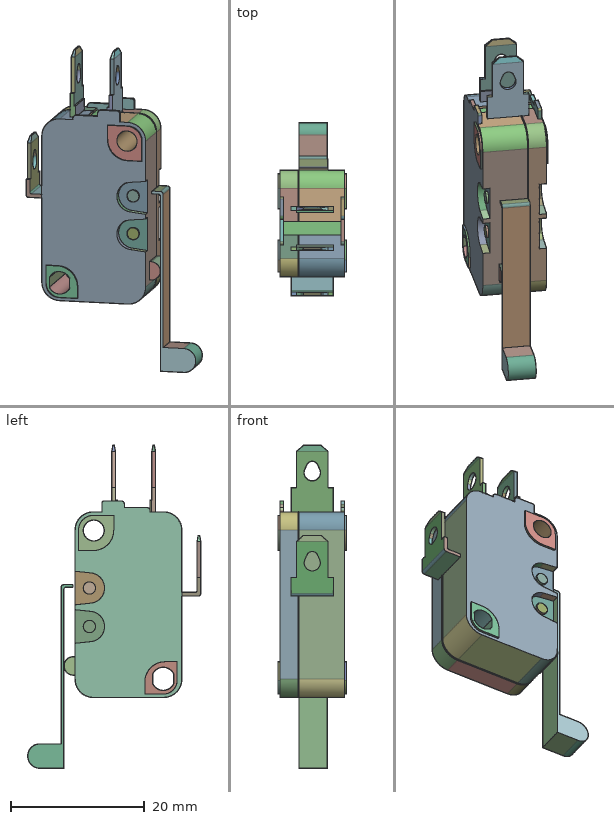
import cadquery as cq
import math

CASE_X = 9.7
CASE_Y = 16.0
CASE_Z = 27.8
CORNER_R = 2.75
BACK_Y = CASE_Y / 2
FRONT_Y = -BACK_Y
SIDE_X = CASE_X / 2

GROOVE_X = -2.13
GROOVE_WIDTH = 0.15
GROOVE_DEPTH = 0.15

HOLE_D = 3.1
HOLE_INSET = 2.8
TALL_HOLE_D = 3.45
PAD_RISE = 0.3
PAD_ROUND = 3.05
TOP_PAD_SIZE = 5.25
TOP_PAD_INSET = 0.55
TOP_PAD_CORNER_R = CORNER_R - TOP_PAD_INSET
LOW_PAD_SIZE = 4.85
LOW_PAD_INSET_Y = 0.72
LOW_PAD_INSET_Z = 0.55
LOW_PAD_CORNER_R = 2.05

POCKET_CENTRE_Y = 5.85
POCKET_CENTRE_ZS = (10.65, 16.4)
POCKET_R = 2.25
POCKET_MOUTH_HALF = 2.5
POCKET_DEPTH = 1.1
PIN_D = 1.85
PIN_RISE = 0.35

RAIL_WIDTH = 0.6
RAIL_BACK_Y = 3.95
RAIL_STEP_Y = 0.6
RAIL_FRONT_Y = -3.25
RAIL_HIGH = 1.65
RAIL_LOW = 0.7
RAIL_BACK_R = 0.3
RAIL_FRONT_R = 0.55
SLOT_BACK_Y = 0.3
SLOT_FRONT_Y = -1.75
SLOT_DEPTH = 0.35

BLADE_THICKNESS = 0.6
BLADE_WIDTH = 4.75
BLADE_LENGTH = 6.35
FOOT_WIDTH = 6.3
TIP_LENGTH = 0.9
TIP_WIDTH = 2.6
TIP_THICKNESS = 0.25
EYE_R = 1.2
EYE_TOP_R = 0.85
EYE_RISE = 2.2
EYE_TAPER = 0.8
TOP_FOOT_HEIGHT = 3.6
TOP_BLADE_BACK_Y = 2.5
TOP_BLADE_FRONT_Y = -3.5
TAB_LEFT_X = -2.35
TAB_HEIGHT = 1.75
TAB_THICKNESS = 0.3
BENT_OUTER_Y = -10.8
BENT_BOTTOM_Z = 15.15
BENT_SHOULDER_Z = 17.9
BENT_OUTER_R = 0.4
BENT_INNER_R = 0.25

MOVING_LEFT_X = GROOVE_X + GROOVE_WIDTH

PLUNGER_WIDTH = 4.35
PLUNGER_Z = 4.75
PLUNGER_R = 1.4
PLUNGER_REACH = 1.65

LEVER_WIDTH = 4.25
LEVER_THICKNESS = 0.45
LEVER_INNER_Y = BACK_Y + PLUNGER_REACH
LEVER_OUTER_Y = LEVER_INNER_Y + LEVER_THICKNESS
LEVER_END_Y = 8.25
LEVER_TOP_Z = 16.9
LEVER_BOTTOM_Z = -10.6
LEVER_OUTER_R = 0.45
LEVER_INNER_R = 0.3
LEVER_END_R = 0.2
NOSE_TIP_Y = 15.05
NOSE_HEIGHT = 3.65
NOSE_R = NOSE_HEIGHT / 2


def block(x_range, y_range, z_range):
    """Box spanning the given ranges."""
    size = [high - low for low, high in (x_range, y_range, z_range)]
    corner = (x_range[0], y_range[0], z_range[0])
    return cq.Workplane("XY").box(*size, centered=False).translate(corner)


def side_plane(x):
    """YZ workplane at the given X."""
    return cq.Workplane("YZ", origin=(x, 0, 0))


def rounded_case(x_start, width, inset=0.0):
    """Slice of the case block, optionally shrunk all round."""
    return (
        side_plane(x_start)
        .center(0, CASE_Z / 2)
        .rect(CASE_Y - 2 * inset, CASE_Z - 2 * inset)
        .extrude(width)
        .edges("|X")
        .fillet(CORNER_R - inset)
    )


def parting_groove():
    """Ring that cuts the parting groove."""
    ring = rounded_case(GROOVE_X, GROOVE_WIDTH)
    return ring.cut(rounded_case(GROOVE_X, GROOVE_WIDTH, GROOVE_DEPTH))


def pad_pair(low_y, low_z, size, outer_edge, outer_r, inner_edge):
    """Square block through the case that forms a pad on both sides, with two opposite corners rounded."""
    reach = SIDE_X + PAD_RISE
    pad = block((-reach, reach), (low_y, low_y + size), (low_z, low_z + size))
    pad = pad.edges("|X").edges(outer_edge).fillet(outer_r)
    return pad.edges("|X").edges(inner_edge).fillet(PAD_ROUND)


def top_pads():
    low_y = BACK_Y - TOP_PAD_INSET - TOP_PAD_SIZE
    low_z = CASE_Z - TOP_PAD_INSET - TOP_PAD_SIZE
    return pad_pair(low_y, low_z, TOP_PAD_SIZE, ">(0, 1, 1)", TOP_PAD_CORNER_R, "<(0, 1, 1)")


def low_pads():
    low_y = FRONT_Y + LOW_PAD_INSET_Y
    return pad_pair(low_y, LOW_PAD_INSET_Z, LOW_PAD_SIZE, "<(0, 1, 1)", LOW_PAD_CORNER_R, ">(0, 1, 1)")


def through_hole(centre_y, centre_z, diameter):
    reach = SIDE_X + PAD_RISE
    return side_plane(-reach).center(centre_y, centre_z).circle(diameter / 2).extrude(2 * reach)


def mounting_holes():
    """Round hole at the top back corner and a tall, flat-sided hole at the bottom front corner."""
    round_hole = through_hole(BACK_Y - HOLE_INSET, CASE_Z - HOLE_INSET, HOLE_D)
    tall_y = FRONT_Y + HOLE_INSET
    reach = SIDE_X + PAD_RISE
    flats = block((-reach, reach), (tall_y - HOLE_D / 2, tall_y + HOLE_D / 2), (0, CASE_Z))
    tall_hole = through_hole(tall_y, HOLE_INSET, TALL_HOLE_D).intersect(flats)
    return round_hole.union(tall_hole)


def pivot_pocket(x_start, centre_z):
    """Round-ended pocket whose straight sides, tangent to its round end, open out to the back face."""
    run = BACK_Y - POCKET_CENTRE_Y
    reach = math.hypot(run, POCKET_MOUTH_HALF)
    tangent_angle = math.atan2(POCKET_MOUTH_HALF, run) + math.acos(POCKET_R / reach)
    tangent_y = POCKET_R * math.cos(tangent_angle)
    tangent_z = POCKET_R * math.sin(tangent_angle)
    return (
        side_plane(x_start)
        .center(POCKET_CENTRE_Y, centre_z)
        .moveTo(run, -POCKET_MOUTH_HALF)
        .lineTo(tangent_y, -tangent_z)
        .threePointArc((-POCKET_R, 0), (tangent_y, tangent_z))
        .lineTo(run, POCKET_MOUTH_HALF)
        .close()
        .extrude(POCKET_DEPTH)
    )


def pivot_pin(x_start, centre_z):
    return (
        side_plane(x_start)
        .center(POCKET_CENTRE_Y, centre_z)
        .circle(PIN_D / 2)
        .extrude(PIN_RISE)
    )


def rail(x_start):
    """Rail with a high back part and a low front part, rounded along its top edges."""
    low_z = CASE_Z + RAIL_LOW
    high_z = CASE_Z + RAIL_HIGH
    back_cut = RAIL_BACK_R * (1 - math.sqrt(0.5))
    front_cut = RAIL_FRONT_R * (1 - math.sqrt(0.5))
    return (
        side_plane(x_start)
        .moveTo(RAIL_BACK_Y, CASE_Z)
        .lineTo(RAIL_BACK_Y, high_z - RAIL_BACK_R)
        .threePointArc((RAIL_BACK_Y - back_cut, high_z - back_cut), (RAIL_BACK_Y - RAIL_BACK_R, high_z))
        .lineTo(RAIL_STEP_Y + RAIL_FRONT_R, high_z)
        .threePointArc(
            (RAIL_STEP_Y + front_cut, high_z - front_cut),
            (RAIL_STEP_Y, high_z - RAIL_FRONT_R),
        )
        .lineTo(RAIL_STEP_Y, low_z)
        .lineTo(RAIL_FRONT_Y + RAIL_FRONT_R, low_z)
        .threePointArc(
            (RAIL_FRONT_Y + front_cut, low_z - front_cut),
            (RAIL_FRONT_Y, low_z - RAIL_FRONT_R),
        )
        .lineTo(RAIL_FRONT_Y, CASE_Z)
        .close()
        .extrude(RAIL_WIDTH)
    )


def top_slot():
    reach = SIDE_X - RAIL_WIDTH
    return block((-reach, reach), (SLOT_FRONT_Y, SLOT_BACK_Y), (CASE_Z - SLOT_DEPTH, CASE_Z))


def blade_eye():
    """Teardrop eye along Y: a large circle tapering up to a small one."""
    side_angle = math.asin((EYE_R - EYE_TOP_R) / EYE_TAPER)
    side_x = math.cos(side_angle)
    side_z = math.sin(side_angle)
    return (
        cq.Workplane("XZ", origin=(0, 0, EYE_RISE))
        .moveTo(EYE_R * side_x, EYE_R * side_z)
        .lineTo(EYE_TOP_R * side_x, EYE_TAPER + EYE_TOP_R * side_z)
        .threePointArc(
            (0, EYE_TAPER + EYE_TOP_R),
            (-EYE_TOP_R * side_x, EYE_TAPER + EYE_TOP_R * side_z),
        )
        .lineTo(-EYE_R * side_x, EYE_R * side_z)
        .threePointArc((0, -EYE_R), (EYE_R * side_x, EYE_R * side_z))
        .close()
        .extrude(BLADE_THICKNESS, both=True)
    )


def blade(back_y, shoulder_z):
    """Terminal blade above its shoulder, with cut corners, a thinned tip and a teardrop eye."""
    tip_z = BLADE_LENGTH - TIP_LENGTH
    face_outline = [
        (-BLADE_WIDTH / 2, 0),
        (BLADE_WIDTH / 2, 0),
        (BLADE_WIDTH / 2, tip_z),
        (TIP_WIDTH / 2, BLADE_LENGTH),
        (-TIP_WIDTH / 2, BLADE_LENGTH),
        (-BLADE_WIDTH / 2, tip_z),
    ]
    edge_outline = [
        (-BLADE_THICKNESS / 2, 0),
        (BLADE_THICKNESS / 2, 0),
        (BLADE_THICKNESS / 2, tip_z),
        (TIP_THICKNESS / 2, BLADE_LENGTH),
        (-TIP_THICKNESS / 2, BLADE_LENGTH),
        (-BLADE_THICKNESS / 2, tip_z),
    ]
    face = cq.Workplane("XZ").polyline(face_outline).close().extrude(BLADE_THICKNESS, both=True)
    edge = cq.Workplane("YZ").polyline(edge_outline).close().extrude(BLADE_WIDTH, both=True)
    shape = face.intersect(edge).cut(blade_eye())
    return shape.translate((0, back_y - BLADE_THICKNESS / 2, shoulder_z))


def top_terminal(back_y, tab_back_y):
    """Straight terminal on the top face, with a low tab against one side of its foot."""
    half = FOOT_WIDTH / 2
    shoulder_z = CASE_Z + TOP_FOOT_HEIGHT
    foot = block((-half, half), (back_y - BLADE_THICKNESS, back_y), (CASE_Z, shoulder_z))
    tab = block(
        (TAB_LEFT_X, half),
        (tab_back_y - TAB_THICKNESS, tab_back_y),
        (CASE_Z, CASE_Z + TAB_HEIGHT),
    )
    return foot.union(blade(back_y, shoulder_z)).union(tab)


def bent_strip(far_y, corner_y, corner_z, far_z, thickness, width, left_x):
    """Right-angled strip: one arm along Y from far_y to corner_y, the other along Z to far_z."""
    y_sign = math.copysign(1, far_y - corner_y)
    z_sign = math.copysign(1, far_z - corner_z)
    inner_y = corner_y + y_sign * thickness
    inner_z = corner_z + z_sign * thickness
    outline = [
        (far_y, corner_z),
        (corner_y, corner_z),
        (corner_y, far_z),
        (inner_y, far_z),
        (inner_y, inner_z),
        (far_y, inner_z),
    ]
    return side_plane(left_x).polyline(outline).close().extrude(width)


def bent_terminal():
    """Terminal on the front face: an arm out from the case, then a blade turned upwards."""
    strip = bent_strip(
        FRONT_Y, BENT_OUTER_Y, BENT_BOTTOM_Z, BENT_SHOULDER_Z, BLADE_THICKNESS, FOOT_WIDTH, -FOOT_WIDTH / 2
    )
    strip = strip.edges("|X").edges("<(0, 1, 1)").fillet(BENT_OUTER_R)
    inner_corner = (0, BENT_OUTER_Y + BLADE_THICKNESS, BENT_BOTTOM_Z + BLADE_THICKNESS)
    strip = strip.edges("|X").edges(cq.NearestToPointSelector(inner_corner)).fillet(BENT_INNER_R)
    return strip.union(blade(BENT_OUTER_Y + BLADE_THICKNESS, BENT_SHOULDER_Z))


def make_housing():
    body = rounded_case(-SIDE_X, CASE_X).cut(parting_groove())
    body = body.union(top_pads()).union(low_pads()).cut(mounting_holes())
    for centre_z in POCKET_CENTRE_ZS:
        left_floor_x = -SIDE_X + POCKET_DEPTH
        right_floor_x = SIDE_X - POCKET_DEPTH
        body = body.cut(pivot_pocket(-SIDE_X, centre_z))
        body = body.cut(pivot_pocket(right_floor_x, centre_z))
        body = body.union(pivot_pin(left_floor_x - PIN_RISE, centre_z))
        body = body.union(pivot_pin(right_floor_x, centre_z))
    body = body.cut(top_slot())
    for rail_x in (-SIDE_X, SIDE_X - RAIL_WIDTH):
        body = body.union(rail(rail_x))
    body = body.union(top_terminal(TOP_BLADE_BACK_Y, TOP_BLADE_BACK_Y - BLADE_THICKNESS))
    body = body.union(top_terminal(TOP_BLADE_FRONT_Y, TOP_BLADE_FRONT_Y + TAB_THICKNESS))
    return body.union(bent_terminal())


def make_plunger():
    """Round-nosed button standing on the back face."""
    straight_y = BACK_Y + PLUNGER_REACH - PLUNGER_R
    return (
        side_plane(MOVING_LEFT_X)
        .moveTo(BACK_Y, PLUNGER_Z - PLUNGER_R)
        .lineTo(straight_y, PLUNGER_Z - PLUNGER_R)
        .threePointArc((BACK_Y + PLUNGER_REACH, PLUNGER_Z), (straight_y, PLUNGER_Z + PLUNGER_R))
        .lineTo(BACK_Y, PLUNGER_Z + PLUNGER_R)
        .close()
        .extrude(PLUNGER_WIDTH)
    )


def make_lever():
    """Bent strip lying against the plunger, with a round nose at its lower end."""
    strip = bent_strip(
        LEVER_END_Y, LEVER_OUTER_Y, LEVER_TOP_Z, LEVER_BOTTOM_Z, LEVER_THICKNESS, LEVER_WIDTH, MOVING_LEFT_X
    )
    strip = strip.edges("|X").edges(">(0, 1, 1)").fillet(LEVER_OUTER_R)
    inner_corner = (0, LEVER_INNER_Y, LEVER_TOP_Z - LEVER_THICKNESS)
    strip = strip.edges("|X").edges(cq.NearestToPointSelector(inner_corner)).fillet(LEVER_INNER_R)
    strip = strip.faces("<Y").edges("|X").fillet(LEVER_END_R)
    round_y = NOSE_TIP_Y - NOSE_R
    nose = (
        side_plane(MOVING_LEFT_X)
        .moveTo(LEVER_INNER_Y, LEVER_BOTTOM_Z)
        .lineTo(round_y, LEVER_BOTTOM_Z)
        .threePointArc((NOSE_TIP_Y, LEVER_BOTTOM_Z + NOSE_R), (round_y, LEVER_BOTTOM_Z + NOSE_HEIGHT))
        .lineTo(LEVER_INNER_Y, LEVER_BOTTOM_Z + NOSE_HEIGHT)
        .close()
        .extrude(LEVER_WIDTH)
    )
    return strip.union(nose)


housing = make_housing()
plunger = make_plunger()
lever = make_lever()

result = cq.Compound.makeCompound([housing.val(), plunger.val(), lever.val()])